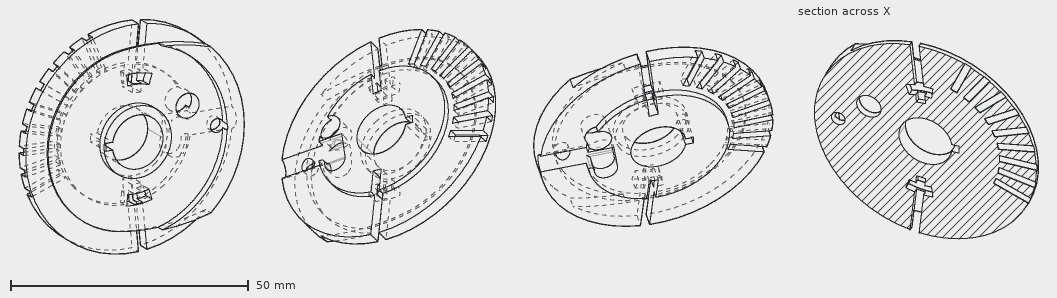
import cadquery as cq
import math

disc_face = 1.5
window_floor = 2.3
pocket_floor = 2.75
tooth_floor = 3.55
disc_back = 4.5
recess_floor = 5.0
back_face = 7.0

disc_radius = 25.3
hub_radius = 15.5
boss_radius = 8.0
bore_radius = 6.0
keyway_width = 1.7
keyway_reach = 7.6

plate_radius = 20.25
recess_radius = 21.2
shoulder_start_y = -2.2
shoulder_crest = (3.3, 20.45)
shoulder_end_y = 17.35
clearance_margin = 2.55

slot_width = 2.0
slot_inner_radius = 10.2
slot_tilt = 5.65
window_inner_radius = 12.15
window_outer_radius = 14.65
window_half_angle = 12.0

notch_count = 9
notch_pitch = 11.0
notch_middle_angle = 23.5
notch_width = 1.5
notch_inner_radius = 16.85

channel_radius = 2.55
channel_axis_x = 0.8
pocket_radius = 2.5
pocket_top = (11.85, 0.0)
pocket_bottom = (11.35, -3.9)
pocket_edge_radius = 0.8
large_hole_radius = 2.75
large_hole_center = (12.85, 5.45)
small_hole_radius = 1.5
small_hole_center = (19.85, 0.0)


def plane_at(x):
    """Sketch plane across the axis: local x is Y, local y is Z."""
    return cq.Workplane("YZ", origin=(x, 0, 0))


def cylinder(x_start, x_end, radius, center=(0, 0)):
    return plane_at(x_start).center(*center).circle(radius).extrude(x_end - x_start)


def turned(body, angle):
    """Turn a body about the disc axis, from +Y toward +Z."""
    return body.rotate((0, 0, 0), (1, 0, 0), angle)


def radial_cut(x_start, x_end, inner_radius, width, angle):
    """Straight slot running from inner_radius out past the disc rim."""
    length = disc_radius + width - inner_radius
    block = (
        plane_at(x_start)
        .center(inner_radius + length / 2, 0)
        .rect(length, width)
        .extrude(x_end - x_start)
    )
    return turned(block, angle)


def rear_clearance():
    """Everything behind the disc that lies outside the plate and its shoulders."""
    start_z = math.sqrt(plate_radius**2 - shoulder_start_y**2)
    end_z = math.sqrt(disc_radius**2 - shoulder_end_y**2)
    crest_y, crest_z = shoulder_crest
    outside = disc_radius + clearance_margin
    return (
        plane_at(disc_back)
        .moveTo(shoulder_end_y, end_z)
        .threePointArc(shoulder_crest, (shoulder_start_y, start_z))
        .threePointArc((-plate_radius, 0), (shoulder_start_y, -start_z))
        .threePointArc((crest_y, -crest_z), (shoulder_end_y, -end_z))
        .lineTo(shoulder_end_y, -outside)
        .lineTo(-outside, -outside)
        .lineTo(-outside, outside)
        .lineTo(shoulder_end_y, outside)
        .close()
        .extrude(back_face - disc_back)
    )


def rear_window(angle):
    """Arc-shaped window open to the recess, centred on a radial slot."""
    half = math.radians(window_half_angle)

    def point(radius, turn):
        return (radius * math.cos(turn), radius * math.sin(turn))

    outline = (
        plane_at(window_floor)
        .moveTo(*point(window_inner_radius, -half))
        .lineTo(*point(window_outer_radius, -half))
        .threePointArc((window_outer_radius, 0), point(window_outer_radius, half))
        .lineTo(*point(window_inner_radius, half))
        .threePointArc((window_inner_radius, 0), point(window_inner_radius, -half))
        .close()
    )
    return turned(outline.extrude(back_face - window_floor), angle)


def channel():
    """Round-bottomed channel ending flush with the inner side of the pocket."""
    top_y, top_z = pocket_top
    lean = (top_y - pocket_bottom[0]) / (top_z - pocket_bottom[1])
    end_y = top_y - pocket_radius * math.hypot(1, lean)
    rim_y = disc_radius + channel_radius
    inner_y = end_y - channel_radius
    length = rim_y - inner_y
    rounded = (
        cq.Workplane("XZ", origin=(channel_axis_x, rim_y, 0))
        .circle(channel_radius)
        .extrude(length)
    )
    straight = cq.Workplane("XY").box(
        channel_axis_x + channel_radius, length, 2 * channel_radius
    ).translate(((channel_axis_x - channel_radius) / 2, (rim_y + inner_y) / 2, 0))
    limit = (
        plane_at(-channel_radius)
        .moveTo(end_y - lean * channel_radius, -channel_radius)
        .lineTo(rim_y, -channel_radius)
        .lineTo(rim_y, channel_radius)
        .lineTo(end_y + lean * channel_radius, channel_radius)
        .close()
        .extrude(disc_back + channel_radius)
    )
    return rounded.union(straight).intersect(limit)


def pocket():
    rise = pocket_top[1] - pocket_bottom[1]
    run = pocket_top[0] - pocket_bottom[0]
    middle = ((pocket_top[0] + pocket_bottom[0]) / 2, (pocket_top[1] + pocket_bottom[1]) / 2)
    return (
        plane_at(0)
        .center(*middle)
        .slot2D(math.hypot(rise, run) + 2 * pocket_radius, 2 * pocket_radius,
                math.degrees(math.atan2(rise, run)))
        .extrude(pocket_floor)
    )


result = cylinder(disc_face, back_face, disc_radius)
result = result.cut(rear_clearance())
result = result.cut(
    cylinder(recess_floor, back_face, recess_radius).cut(cylinder(recess_floor, back_face, boss_radius))
)
result = result.union(cylinder(0, disc_face, hub_radius))

result = result.cut(channel()).cut(pocket())

ridge_zone = cq.selectors.BoxSelector(
    (disc_face, pocket_bottom[0] - pocket_radius / 2, -channel_radius),
    (disc_back, pocket_top[0] + pocket_radius, channel_radius),
)
result = result.edges(ridge_zone).edges("not %CIRCLE").fillet(pocket_edge_radius)

result = result.cut(cylinder(0, back_face, bore_radius))
keyway = plane_at(0).center(-keyway_reach / 2, 0).rect(keyway_reach, keyway_width).extrude(back_face)
result = result.cut(keyway)

result = result.cut(cylinder(0, back_face, large_hole_radius, large_hole_center))
result = result.cut(cylinder(0, back_face, small_hole_radius, small_hole_center))

for slot_angle in (90 - slot_tilt, slot_tilt - 90):
    result = result.cut(radial_cut(0, disc_back, slot_inner_radius, slot_width, slot_angle))
    result = result.cut(rear_window(slot_angle))

for index in range(notch_count):
    offset = (index - (notch_count - 1) / 2) * notch_pitch
    notch_angle = 180 - notch_middle_angle - offset
    result = result.cut(
        radial_cut(disc_face, tooth_floor, notch_inner_radius, notch_width, notch_angle)
    )